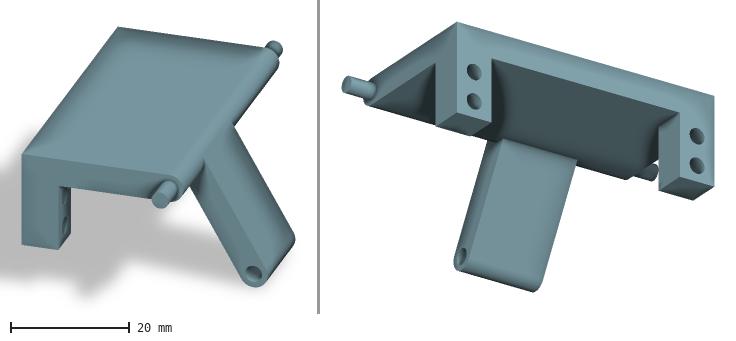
import cadquery as cq
import math

plate_width = 52.0
plate_thickness = 5.0
hinge_x = 26.16
hinge_radius = plate_thickness / 2
hinge_z = -hinge_radius

leg_depth = 6.5
leg_width = 7.0
leg_height = 17.0
leg_hole_diameter = 3.0
leg_hole_inset = 3.5
leg_hole_depths = (8.5, 14.0)

pin_diameter = 3.0
pin_span = 62.0

arm_length = 22.5
arm_angle = 60.0
arm_width = 15.0
arm_near_y = -14.7
arm_hole_diameter = 3.0


def box_between(x_range, y_range, z_range):
    """Axis-aligned box spanning the given coordinate ranges."""
    size = [high - low for low, high in (x_range, y_range, z_range)]
    corner = (x_range[0], y_range[0], z_range[0])
    return cq.Workplane("XY").box(*size, centered=False).translate(corner)


def cylinder_along_y(x, z, diameter, y_start, length):
    """Cylinder parallel to the hinge axis."""
    return (
        cq.Workplane("XZ", origin=(x, y_start, z))
        .circle(diameter / 2)
        .extrude(-length)
    )


def make_plate():
    """Flat plate with a fully rounded hinge edge."""
    half_width = plate_width / 2
    flat = box_between((0, hinge_x), (-half_width, half_width), (-plate_thickness, 0))
    rounded_edge = cylinder_along_y(hinge_x, hinge_z, plate_thickness, -half_width, plate_width)
    return flat.union(rounded_edge)


def make_leg(side):
    """Leg at the +Y (side = 1) or -Y (side = -1) end, with two holes through it along X."""
    outer_y = side * plate_width / 2
    inner_y = outer_y - side * leg_width
    leg = box_between((0, leg_depth), sorted((inner_y, outer_y)), (-leg_height, 0))
    hole_y = outer_y - side * leg_hole_inset
    holes = (
        cq.Workplane("YZ")
        .pushPoints([(hole_y, -depth) for depth in leg_hole_depths])
        .circle(leg_hole_diameter / 2)
        .extrude(leg_depth)
    )
    return leg.cut(holes)


def make_pin():
    """Pin running through the rounded edge and out of both ends."""
    return cylinder_along_y(hinge_x, hinge_z, pin_diameter, -pin_span / 2, pin_span)


def make_arm():
    """Round-ended arm sloping down from the hinge axis."""
    slope = math.radians(arm_angle)
    tip_x = hinge_x + arm_length * math.cos(slope)
    tip_z = hinge_z - arm_length * math.sin(slope)
    middle = ((hinge_x + tip_x) / 2, arm_near_y, (hinge_z + tip_z) / 2)
    arm = (
        cq.Workplane("XZ", origin=middle)
        .slot2D(arm_length + plate_thickness, plate_thickness, -arm_angle)
        .extrude(-arm_width)
    )
    return arm.cut(cylinder_along_y(tip_x, tip_z, arm_hole_diameter, arm_near_y, arm_width))


result = make_plate().union(make_pin()).union(make_arm())
for end in (-1, 1):
    result = result.union(make_leg(end))